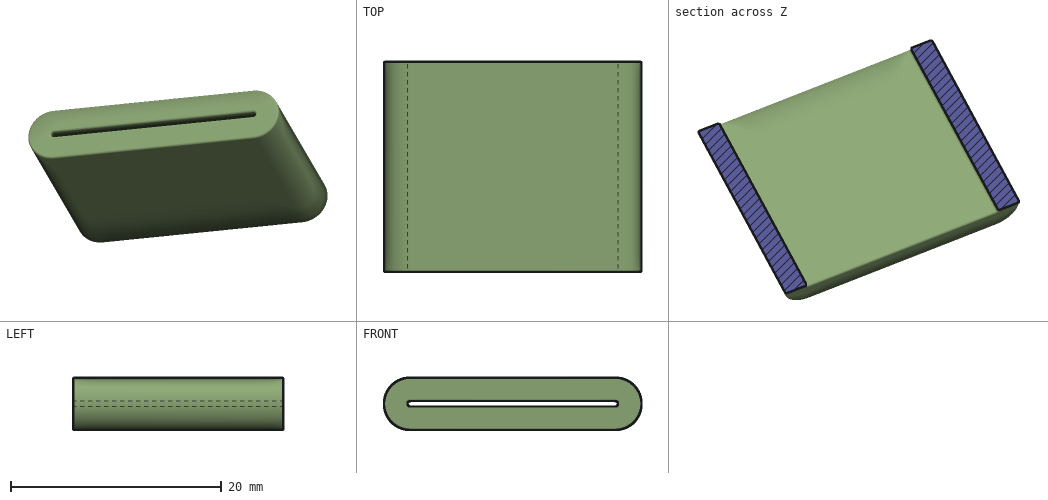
import cadquery as cq

body_width = 24.5
body_depth = 20.0
body_height = 5.0

slot_width = 20.0
slot_height = 0.5

edge_radius = 0.2


def rounded_bar(width, height):
    """Stadium profile in XZ, extruded over the full depth and centred on the origin."""
    return cq.Workplane("XZ").slot2D(width, height).extrude(body_depth / 2, both=True)


body = rounded_bar(body_width, body_height)
slot = rounded_bar(slot_width, slot_height)
sleeve = body.cut(slot)

result = sleeve.faces("<Y or >Y").edges().fillet(edge_radius)